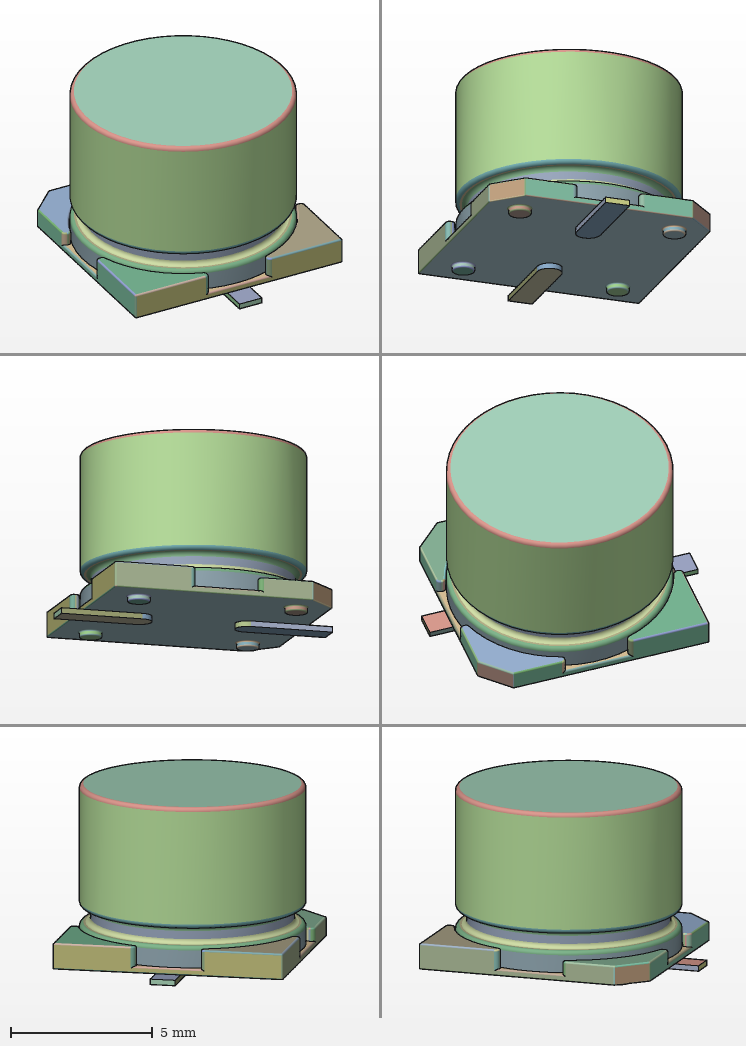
import cadquery as cq
import math

overall_height = 6.2
standoff = 0.2

can_radius = 4.0
can_edge_radius = 0.15
groove_radius = 3.6
groove_bottom = 1.2
groove_top = 1.83
groove_root_fillet = 0.17

base_half = 4.15
base_corner_chamfer = 1.0
base_floor_top = 0.43
edge_fillet = 0.06
underside_fillet = 0.04

tower_wall_radius = 4.03
tower_end = 1.18
tower_end_outer_fillet = 0.15
tower_end_inner_fillet = 0.12
low_tower_top = 0.9
high_tower_top = 1.13

foot_radius = 0.4
foot_offset = 2.9
foot_rounding = 0.05

lead_outer_end = 5.0
lead_width = 0.9
lead_inner_end = 1.55

match_tolerance = 1e-6


def make_can():
    """Turned can with a rolled groove near its lower end."""
    profile = [
        (0, standoff),
        (can_radius, standoff),
        (can_radius, groove_bottom),
        (groove_radius, groove_bottom),
        (groove_radius, groove_top),
        (can_radius, groove_top),
        (can_radius, overall_height),
        (0, overall_height),
    ]
    can = cq.Workplane("XZ").polyline(profile).close().revolve(360, (0, 0), (0, 1))

    def circles_at(radius, heights):
        circles = []
        for edge in can.edges("%CIRCLE").vals():
            height_matches = any(abs(edge.Center().z - z) < match_tolerance for z in heights)
            if height_matches and abs(edge.radius() - radius) < match_tolerance:
                circles.append(edge)
        return circles

    rims = circles_at(can_radius, [groove_bottom, groove_top, overall_height])
    can = can.newObject(rims).fillet(can_edge_radius)
    roots = circles_at(groove_radius, [groove_bottom, groove_top])
    return can.newObject(roots).fillet(groove_root_fillet)


def make_plate(top):
    """Base outline up to a given height, with two chamfered corners and softened sides."""
    plate = cq.Workplane("XY").workplane(offset=standoff).rect(2 * base_half, 2 * base_half)
    plate = plate.extrude(top - standoff)
    plate = plate.edges("|Z and <X").chamfer(base_corner_chamfer)
    return plate.edges("|Z").fillet(edge_fillet)


def make_floor():
    """Thin base plate joining the four towers."""
    floor = make_plate(base_floor_top).faces(">Z").edges().fillet(edge_fillet)
    return floor.faces("<Z").edges().fillet(underside_fillet)


def make_tower(top, zone):
    """Corner tower: the base outline inside a footprint, with its top edges rounded."""
    tower = make_plate(top).intersect(zone)
    return tower.faces(">Z").edges().fillet(edge_fillet)


def make_tower_zone():
    """Footprint prism of the +X +Y tower, with rounded ends and a concave wall around the can."""
    size = base_half - tower_end
    zone = cq.Workplane("XY").workplane(offset=standoff + underside_fillet)
    zone = zone.center(tower_end, tower_end).rect(size, size, centered=False).extrude(overall_height)
    bore = cq.Workplane("XY").circle(tower_wall_radius).extrude(2 * overall_height)
    zone = zone.cut(bore)

    def upright_edges_through(x, y):
        """Both upright edges mirrored about the diagonal of the tower."""
        found = []
        for edge in zone.edges("|Z").vals():
            centre = edge.Center()
            for corner_x, corner_y in ((x, y), (y, x)):
                if math.hypot(centre.x - corner_x, centre.y - corner_y) < match_tolerance:
                    found.append(edge)
        return zone.newObject(found)

    wall_end = math.sqrt(tower_wall_radius**2 - tower_end**2)
    zone = upright_edges_through(tower_end, base_half).fillet(tower_end_outer_fillet)
    return upright_edges_through(tower_end, wall_end).fillet(tower_end_inner_fillet)


def make_foot(x, y):
    """Round foot that flares slightly where it meets the base."""
    return (
        cq.Workplane("XZ", origin=(x, y, 0))
        .lineTo(foot_radius - foot_rounding, 0)
        .radiusArc((foot_radius, foot_rounding), -foot_rounding)
        .lineTo(foot_radius, standoff - foot_rounding)
        .radiusArc((foot_radius + foot_rounding, standoff), foot_rounding)
        .lineTo(0, standoff)
        .close()
        .revolve(360, (0, 0), (0, 1))
    )


def make_lead():
    """Flat lead on the +X side with a full round inner end."""
    half_width = lead_width / 2
    round_centre = lead_inner_end + half_width
    return (
        cq.Workplane("XY")
        .moveTo(lead_outer_end, half_width)
        .lineTo(round_centre, half_width)
        .threePointArc((lead_inner_end, 0), (round_centre, -half_width))
        .lineTo(lead_outer_end, -half_width)
        .close()
        .extrude(standoff)
    )


result = make_floor().union(make_can())

tower_zone = make_tower_zone()
high_tower = make_tower(high_tower_top, tower_zone)
low_tower = make_tower(low_tower_top, tower_zone.mirror("YZ"))
for tower in (high_tower, low_tower):
    result = result.union(tower).union(tower.mirror("XZ"))

for foot_x in (-foot_offset, foot_offset):
    for foot_y in (-foot_offset, foot_offset):
        result = result.union(make_foot(foot_x, foot_y))

lead = make_lead()
result = result.union(lead).union(lead.mirror("YZ"))